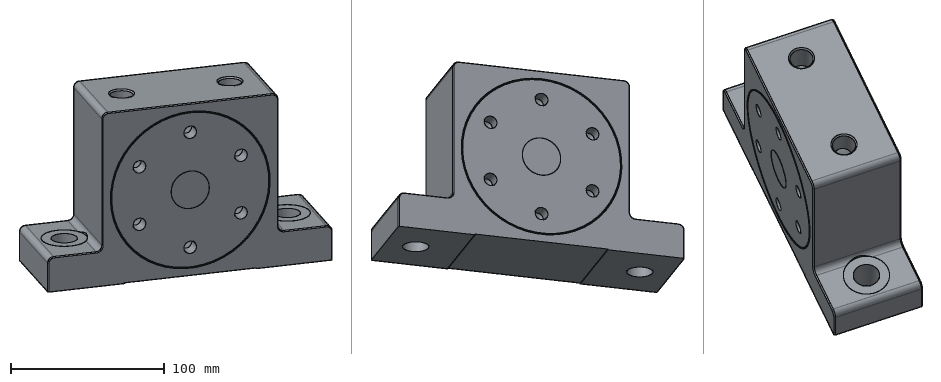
import cadquery as cq
import math

width = 62.0
length = 194.0
height = 120.0
block_length = height
foot_height = 24.0
corner_radius = 4.0

bevel_across = 1.0
bevel_inward = 0.5

relief_length = 90.0
relief_depth = 0.5

axis_height = height / 2
rim_outer_diameter = 109.0
rim_inner_diameter = 107.0
rim_depth = (rim_outer_diameter - rim_inner_diameter) / 4
hub_diameter = 26.0
hub_depth = 0.2
tool_hole_count = 6
tool_hole_circle_diameter = 80.0
tool_hole_diameter = 8.5
tool_hole_depth = 10.0

mount_spacing = 152.0
mount_diameter = 17.0
spotface_diameter = 30.0
spotface_depth = 0.1

port_spacing = 74.0
port_mouth_diameter = 16.9
port_diameter = 15.0
passage_diameter = 8.0
beveled_passage_mouth = 9.5
drill_point_angle = 118.0
core_diameter = (rim_outer_diameter + rim_inner_diameter) / 2
port_edge_offset = 1.7


def cone_height(large_diameter, small_diameter, point_angle):
    return (large_diameter - small_diameter) / 2 / math.tan(math.radians(point_angle / 2))


def profile(inset):
    """Closed outline of the stepped body in the YZ plane, its upper sides moved in by inset."""
    foot_end = length / 2 - inset
    wall = block_length / 2 - inset
    step = foot_height - inset
    top = height - inset
    outer = corner_radius - inset
    inner = corner_radius + inset
    outer_mid = outer * (1 - math.sqrt(0.5))
    inner_mid = inner * (1 - math.sqrt(0.5))
    outline = cq.Workplane("YZ").moveTo(-foot_end, 0).lineTo(foot_end, 0)
    outline = outline.lineTo(foot_end, step - outer)
    outline = outline.threePointArc((foot_end - outer_mid, step - outer_mid), (foot_end - outer, step))
    outline = outline.lineTo(wall + inner, step)
    outline = outline.threePointArc((wall + inner_mid, step + inner_mid), (wall, step + inner))
    outline = outline.lineTo(wall, top - outer)
    outline = outline.threePointArc((wall - outer_mid, top - outer_mid), (wall - outer, top))
    outline = outline.lineTo(-wall + outer, top)
    outline = outline.threePointArc((-wall + outer_mid, top - outer_mid), (-wall, top - outer))
    outline = outline.lineTo(-wall, step + inner)
    outline = outline.threePointArc((-wall - inner_mid, step + inner_mid), (-wall - inner, step))
    outline = outline.lineTo(-foot_end + outer, step)
    outline = outline.threePointArc((-foot_end + outer_mid, step - outer_mid), (-foot_end, step - outer))
    return outline.close()


def make_body():
    middle_width = width - 2 * bevel_across
    body = profile(0).extrude(middle_width / 2, both=True)
    outer_wire = profile(0).val()
    inner_wire = profile(bevel_inward).val()
    for side in (-1, 1):
        rim = outer_wire.translate(cq.Vector(side * middle_width / 2, 0, 0))
        face = inner_wire.translate(cq.Vector(side * width / 2, 0, 0))
        body = body.union(cq.Workplane(cq.Solid.makeLoft([rim, face], True)))
    relief = cq.Workplane("XY").box(width, relief_length, relief_depth, centered=(True, True, False))
    return body.cut(relief)


def cover_cutter():
    """Everything cut into the -X side face."""
    side_face = cq.Workplane("YZ", origin=(-width / 2, 0, axis_height))
    rim_section = [
        (-width / 2, rim_inner_diameter / 2),
        (-width / 2, rim_outer_diameter / 2),
        (-width / 2 + rim_depth, core_diameter / 2),
    ]
    rim_plane = cq.Workplane("XZ", origin=(0, 0, axis_height))
    cutter = rim_plane.polyline(rim_section).close().revolve(360, (0, 0), (1, 0))
    cutter = cutter.union(side_face.circle(hub_diameter / 2).extrude(hub_depth))
    tip_length = cone_height(tool_hole_diameter, 0, drill_point_angle)
    for index in range(tool_hole_count):
        angle = 2 * math.pi * index / tool_hole_count
        y = tool_hole_circle_diameter / 2 * math.sin(angle)
        z = tool_hole_circle_diameter / 2 * math.cos(angle)
        cutter = cutter.union(side_face.center(y, z).circle(tool_hole_diameter / 2).extrude(tool_hole_depth))
        tip_base = cq.Vector(-width / 2 + tool_hole_depth, y, axis_height + z)
        tip = cq.Solid.makeCone(tool_hole_diameter / 2, 0, tip_length, tip_base, cq.Vector(1, 0, 0))
        cutter = cutter.union(cq.Workplane(tip))
    return cutter


def mount_cutter(y):
    """Bolt hole with a spotface that also clears the fillet at the block wall."""
    hole = cq.Workplane("XY").center(0, y).circle(mount_diameter / 2).extrude(height)
    floor = foot_height - spotface_depth
    spotface = cq.Workplane("XY", origin=(0, y, floor)).circle(spotface_diameter / 2).extrude(corner_radius)
    return hole.union(spotface)


def port_cutter(y, passage_mouth):
    """Countersunk bore, conical shoulder and narrow passage, ending on the core.

    A passage_mouth wider than the passage adds a 45 degree bevel at its entry.
    """
    core_radius = core_diameter / 2
    edge_y = abs(y) - port_edge_offset
    shoulder_z = axis_height + math.sqrt(core_radius**2 - edge_y**2)
    bevel_z = shoulder_z - cone_height(port_diameter, passage_mouth, drill_point_angle)
    passage_z = bevel_z - (passage_mouth - passage_diameter) / 2
    mouth_z = height - (port_mouth_diameter - port_diameter) / 2
    section = [(0, axis_height), (passage_diameter / 2, axis_height), (passage_diameter / 2, passage_z)]
    if passage_mouth > passage_diameter:
        section.append((passage_mouth / 2, bevel_z))
    section += [
        (port_diameter / 2, shoulder_z),
        (port_diameter / 2, mouth_z),
        (port_mouth_diameter / 2, height),
        (0, height),
    ]
    port = cq.Workplane("XZ", origin=(0, y, 0)).polyline(section).close().revolve(360, (0, 0), (0, 1))
    core = cq.Workplane("YZ", origin=(0, 0, axis_height)).circle(core_radius).extrude(width / 2, both=True)
    return port.cut(core)


result = make_body()
side_cut = cover_cutter()
result = result.cut(side_cut).cut(side_cut.mirror("YZ"))
for end, mouth in ((-1, beveled_passage_mouth), (1, passage_diameter)):
    result = result.cut(mount_cutter(end * mount_spacing / 2))
    result = result.cut(port_cutter(end * port_spacing / 2, mouth))